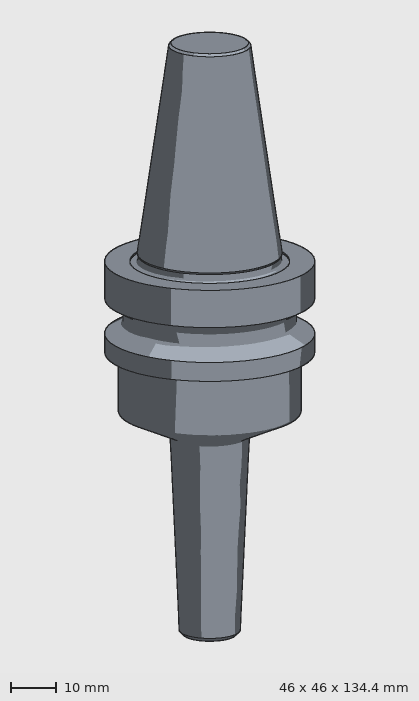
import cadquery as cq

TOTAL_HEIGHT = 134.4
NECK_TOP = 45.4
BODY_BOTTOM = 50.7
FLANGE_BOTTOM = 64.1
FLANGE_TOP = 84.8
GROOVE_LOWER_EDGE = 68.4
GROOVE_UPPER_EDGE = 76.3
SHANK_BASE = 86.7

FLANGE_RADIUS = 23.0
GROOVE_RADIUS = 19.0
BODY_RADIUS = 20.0
SHANK_BASE_RADIUS = 15.9
SHANK_TIP_RADIUS = 9.0
NECK_TOP_RADIUS = 8.7
NECK_TIP_RADIUS = 6.7

GROOVE_WALL_HEIGHT = 2.3
GROOVE_ROOT_FILLET = 0.8
BODY_EDGE_FILLET = 0.5
NECK_FILLET = 0.5
SHANK_TIP_CHAMFER = 0.5
NOSE_CHAMFER = 1.0
RELIEF_RADIUS = 15.7
RELIEF_HEIGHT = 0.4
RELIEF_FILLET = 0.7
RECESS_RADIUS = 17.5
RECESS_DEPTH = 0.4

RECESS_FLOOR = FLANGE_TOP - RECESS_DEPTH
GROOVE_FLOOR_BOTTOM = GROOVE_LOWER_EDGE + GROOVE_WALL_HEIGHT
GROOVE_FLOOR_TOP = GROOVE_UPPER_EDGE - GROOVE_WALL_HEIGHT


def revolve_profile(points):
    """Revolve a closed (radius, height) outline about the Z axis."""
    return cq.Workplane("XZ").polyline(points).close().revolve(360, (0, 0, 0), (0, 1, 0))


def fillet_ring(part, radius, height, fillet_radius):
    """Round the circular edge that has the given radius and height."""
    tolerance = 0.001

    def is_ring(edge):
        if edge.geomType() != "CIRCLE":
            return False
        same_radius = abs(edge.radius() - radius) < tolerance
        same_height = abs(edge.Center().z - height) < tolerance
        return same_radius and same_height

    return part.newObject(part.edges().filter(is_ring).vals()).fillet(fillet_radius)


nose = [
    (0, 0),
    (NECK_TIP_RADIUS - NOSE_CHAMFER, 0),
    (NECK_TIP_RADIUS, NOSE_CHAMFER),
    (NECK_TOP_RADIUS, NECK_TOP),
]

body = [
    (BODY_RADIUS, BODY_BOTTOM),
    (BODY_RADIUS, FLANGE_BOTTOM),
]

flange = [
    (FLANGE_RADIUS, FLANGE_BOTTOM),
    (FLANGE_RADIUS, GROOVE_LOWER_EDGE),
    (GROOVE_RADIUS, GROOVE_FLOOR_BOTTOM),
    (GROOVE_RADIUS, GROOVE_FLOOR_TOP),
    (FLANGE_RADIUS, GROOVE_UPPER_EDGE),
    (FLANGE_RADIUS, FLANGE_TOP),
    (RECESS_RADIUS, FLANGE_TOP),
    (RECESS_RADIUS, RECESS_FLOOR),
]

shank = [
    (RELIEF_RADIUS, RECESS_FLOOR),
    (RELIEF_RADIUS, SHANK_BASE - RELIEF_HEIGHT),
    (SHANK_BASE_RADIUS, SHANK_BASE),
    (SHANK_TIP_RADIUS, TOTAL_HEIGHT - SHANK_TIP_CHAMFER),
    (SHANK_TIP_RADIUS - SHANK_TIP_CHAMFER, TOTAL_HEIGHT),
    (0, TOTAL_HEIGHT),
]

result = revolve_profile(nose + body + flange + shank)

for groove_height in (GROOVE_FLOOR_BOTTOM, GROOVE_FLOOR_TOP):
    result = fillet_ring(result, GROOVE_RADIUS, groove_height, GROOVE_ROOT_FILLET)
result = fillet_ring(result, BODY_RADIUS, BODY_BOTTOM, BODY_EDGE_FILLET)
result = fillet_ring(result, NECK_TOP_RADIUS, NECK_TOP, NECK_FILLET)
result = fillet_ring(result, RELIEF_RADIUS, RECESS_FLOOR, RELIEF_FILLET)